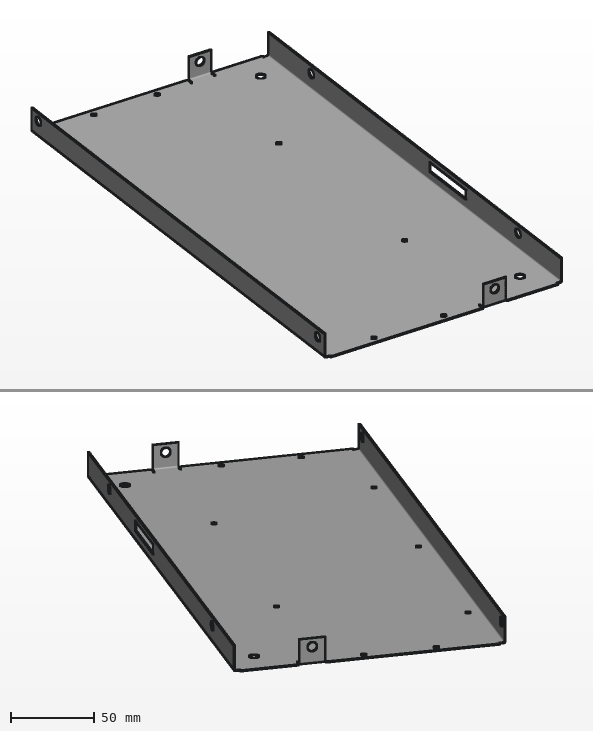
import cadquery as cq

LENGTH = 327.0
WIDTH = 169.5
HEIGHT = 16.7

SHEET = 0.8
BEND_INNER = 1.0
BEND_OUTER = BEND_INNER + SHEET

FLANGE_LENGTH = 324.5
CORNER_STEP = 4.0

TAB_WIDTH = 16.0
TAB_Y = 36.0
RELIEF_WIDTH = 0.5
RELIEF_DEPTH = 4.3

MOUNT_HOLE = 6.0
SMALL_HOLE = 3.15
UPRIGHT_HOLE_Z = HEIGHT - 5.5
FRONT_HOLE_X = 154.7
BACK_HOLE_X = 114.5
FLOOR_MOUNT_X = 143.5
FLOOR_MOUNT_Y = 66.7
SMALL_HOLE_POINTS = [
    (-69.7, 32.0),
    (69.7, 32.0),
    (-158.7, 2.5),
    (158.7, 2.5),
    (-158.7, -42.5),
    (158.7, -47.0),
    (-110.0, -76.0),
    (0.5, -76.0),
    (99.8, -76.0),
]

WINDOW_X = 36.5
WINDOW_LENGTH = 40.2
WINDOW_HEIGHT = 6.5
WINDOW_Z = 9.8


def bent_wall(length):
    """Upright wall along X with its outer face at Y = 0 and a bend at its foot leading towards +Y."""
    return (
        cq.Workplane("YZ")
        .moveTo(BEND_OUTER, 0)
        .radiusArc((0, BEND_OUTER), BEND_OUTER)
        .lineTo(0, HEIGHT)
        .lineTo(SHEET, HEIGHT)
        .lineTo(SHEET, BEND_OUTER)
        .radiusArc((BEND_OUTER, SHEET), -BEND_INNER)
        .close()
        .extrude(length / 2, both=True)
    )


def floor_plate():
    """Flat floor with room left for the flange bends and the tab bends."""
    full_length = cq.Workplane("XY").rect(LENGTH, WIDTH - 2 * CORNER_STEP).extrude(SHEET)
    full_width = cq.Workplane("XY").rect(FLANGE_LENGTH, WIDTH - 2 * BEND_OUTER).extrude(SHEET)
    tab_gaps = (
        cq.Workplane("XY")
        .pushPoints([(-LENGTH / 2, TAB_Y), (LENGTH / 2, TAB_Y)])
        .rect(2 * BEND_OUTER, TAB_WIDTH)
        .extrude(SHEET)
    )
    reliefs = (
        cq.Workplane("XY")
        .pushPoints([
            (end * LENGTH / 2, TAB_Y + side * (TAB_WIDTH + RELIEF_WIDTH) / 2)
            for end in (-1, 1)
            for side in (-1, 1)
        ])
        .rect(2 * RELIEF_DEPTH, RELIEF_WIDTH)
        .extrude(SHEET)
    )
    return full_length.union(full_width).cut(tab_gaps).cut(reliefs)


def floor_holes():
    """Cutters for the two mounting holes and the small holes in the floor."""
    mounts = (
        cq.Workplane("XY")
        .pushPoints([(-FLOOR_MOUNT_X, FLOOR_MOUNT_Y), (FLOOR_MOUNT_X, FLOOR_MOUNT_Y)])
        .circle(MOUNT_HOLE / 2)
        .extrude(SHEET)
    )
    small = cq.Workplane("XY").pushPoints(SMALL_HOLE_POINTS).circle(SMALL_HOLE / 2).extrude(SHEET)
    return mounts.union(small)


def flange(hole_x):
    """Long flange with a hole near each end."""
    holes = (
        cq.Workplane("XZ")
        .pushPoints([(-hole_x, UPRIGHT_HOLE_Z), (hole_x, UPRIGHT_HOLE_Z)])
        .circle(MOUNT_HOLE / 2)
        .extrude(-SHEET)
    )
    return bent_wall(FLANGE_LENGTH).cut(holes)


def end_tab():
    """Short upright tab with one central hole."""
    hole = cq.Workplane("XZ").center(0, UPRIGHT_HOLE_Z).circle(MOUNT_HOLE / 2).extrude(-SHEET)
    return bent_wall(TAB_WIDTH).cut(hole)


front_flange = flange(FRONT_HOLE_X).translate((0, -WIDTH / 2, 0))

window = (
    cq.Workplane("XY")
    .box(WINDOW_LENGTH, 2 * SHEET, WINDOW_HEIGHT)
    .translate((WINDOW_X, WIDTH / 2, WINDOW_Z))
)
back_flange = flange(BACK_HOLE_X).mirror("XZ").translate((0, WIDTH / 2, 0)).cut(window)

left_tab = end_tab().rotate((0, 0, 0), (0, 0, 1), -90).translate((-LENGTH / 2, TAB_Y, 0))
right_tab = left_tab.mirror("YZ")

result = floor_plate().cut(floor_holes())
for wall in (front_flange, back_flange, left_tab, right_tab):
    result = result.union(wall)